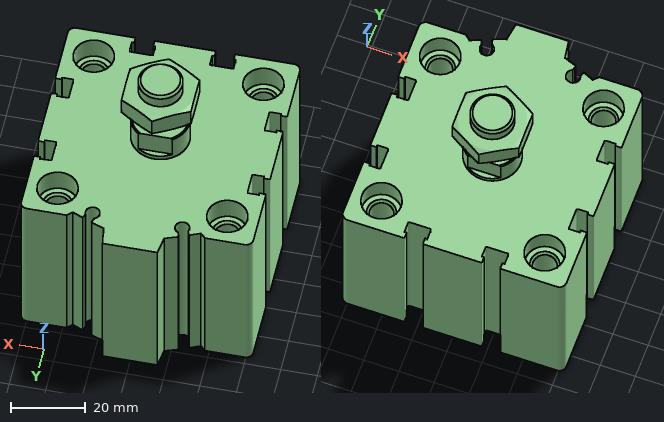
import cadquery as cq
import math


body_width = 63.5
body_height = 48.0
corner_radius = 2.0
half_width = body_width / 2

groove_spacing = 22.0
groove_mouth = 5.2
groove_width = 6.5
groove_lip = 1.8
groove_depth = 5.0
groove_mouth_radius = 0.3
groove_floor_radius = 0.4

boss_top = (7.5, 39.25)
boss_foot = (8.3, 34.1)
boss_shoulder = (11.8, 32.85)

slot_center = (12.25, 29.55)
slot_radius = 1.95
slot_mouth = 2.75
slot_tilt = 21.0
slot_outer_lip = (14.4, half_width)
notch_bottom = (17.5, 30.4)
notch_end_x = 18.9

hole_pitch = 46.4
hole_diameter = 6.65
hole_countersink = 8.0
counterbore_diameter = 11.0
counterbore_depth = 6.8

rod_diameter = 16.0
rod_shoulder_z = body_height + 8.0
rod_edge_chamfer = 0.3
flats_width = 13.0
flats_bottom_z = body_height + 1.4
thread_diameter = 12.0
thread_tip_diameter = 10.65
thread_bottom_z = 59.75
thread_tip_chamfer = 0.75
neck_diameter = 10.2
neck_top_z = 57.25
neck_top_radius = 0.85
neck_foot_radius = 0.5
rod_top_z = 72.0

nut_across_flats = 19.0
nut_bottom_z = 62.0
nut_height = 6.0
nut_face_diameter = 18.6
nut_chamfer_angle = 15.0


def cylinder(diameter, bottom_z, height):
    """Upright cylinder on the Z axis."""
    return cq.Workplane("XY").workplane(offset=bottom_z).circle(diameter / 2).extrude(height)


def turned(half_section):
    """Solid of revolution about Z from (radius, Z) points."""
    return cq.Workplane("XZ").polyline(half_section).close().revolve(360, (0, 0), (0, 1))


def housing_block():
    """Square block with rounded corners."""
    return (
        cq.Workplane("XY")
        .rect(body_width, body_width)
        .extrude(body_height)
        .edges("|Z")
        .fillet(corner_radius)
    )


def boss():
    """Tapered boss, reaching down to the level of the slot centers."""
    right_outline = [(boss_shoulder[0], slot_center[1]), boss_shoulder, boss_foot, boss_top]
    left_outline = [(-x, y) for x, y in reversed(right_outline)]
    return cq.Workplane("XY").polyline(right_outline + left_outline).close().extrude(body_height)


def corner_notch(side):
    """V-notch between the slot's outer lip and the flat +Y face."""
    outline = [
        slot_outer_lip,
        notch_bottom,
        (notch_end_x, half_width),
        (notch_end_x, boss_top[1]),
        (slot_outer_lip[0], boss_top[1]),
    ]
    return cq.Workplane("XY").polyline([(side * x, y) for x, y in outline]).close().extrude(body_height)


def round_slot(side):
    """Round channel with a narrower tilted mouth."""
    mouth_length = boss_top[1] - slot_center[1]
    mouth = (
        cq.Workplane("XY")
        .center(0, mouth_length / 2)
        .rect(slot_mouth, mouth_length)
        .extrude(body_height)
    )
    channel = cylinder(2 * slot_radius, 0, body_height).union(mouth)
    channel = channel.rotate((0, 0, 0), (0, 0, 1), -side * slot_tilt)
    return channel.translate((side * slot_center[0], slot_center[1], 0))


def t_groove(offset):
    """T-shaped groove along Z in the -Y face at the given X, with rounded edges."""
    mouth_x = groove_mouth / 2
    flare_x = mouth_x + groove_mouth_radius
    pocket_depth = groove_depth - groove_lip
    mouth = (
        cq.Workplane("XY")
        .moveTo(-flare_x, 0)
        .radiusArc((-mouth_x, groove_mouth_radius), -groove_mouth_radius)
        .lineTo(-mouth_x, groove_lip)
        .lineTo(mouth_x, groove_lip)
        .lineTo(mouth_x, groove_mouth_radius)
        .radiusArc((flare_x, 0), -groove_mouth_radius)
        .close()
        .extrude(body_height)
    )
    pocket = (
        cq.Workplane("XY")
        .center(0, groove_lip + pocket_depth / 2)
        .rect(groove_width, pocket_depth)
        .extrude(body_height)
        .edges("|Z and >Y")
        .fillet(groove_floor_radius)
    )
    return mouth.union(pocket).translate((offset, -half_width, 0))


def mounting_hole():
    """Through hole, countersunk below a counterbore, as a revolved cutter."""
    floor_z = body_height - counterbore_depth
    countersink_depth = (hole_countersink - hole_diameter) / 2
    half_section = [
        (0, 0),
        (hole_diameter / 2, 0),
        (hole_diameter / 2, floor_z - countersink_depth),
        (hole_countersink / 2, floor_z),
        (counterbore_diameter / 2, floor_z),
        (counterbore_diameter / 2, body_height),
        (0, body_height),
    ]
    return turned(half_section)


def make_housing():
    """Grooved housing with its boss, sensor slots and mounting holes."""
    body = housing_block().union(boss())
    for side in (-1, 1):
        body = body.cut(corner_notch(side)).cut(round_slot(side))
    for turn in (-90, 0, 90):
        for offset in (-groove_spacing / 2, groove_spacing / 2):
            body = body.cut(t_groove(offset).rotate((0, 0, 0), (0, 0, 1), turn))
    hole = mounting_hole()
    for x in (-hole_pitch / 2, hole_pitch / 2):
        for y in (-hole_pitch / 2, hole_pitch / 2):
            body = body.cut(hole.translate((x, y, 0)))
    return body


def make_rod():
    """Stepped rod with wrench flats, standing on the housing's top face."""
    rod_radius = rod_diameter / 2
    neck_radius = neck_diameter / 2
    thread_radius = thread_diameter / 2
    cone_angle = math.atan2(thread_radius - neck_radius, thread_bottom_z - neck_top_z)
    tangent_length = neck_top_radius * math.tan(cone_angle / 2)
    cone_start = (
        neck_radius + tangent_length * math.sin(cone_angle),
        neck_top_z + tangent_length * math.cos(cone_angle),
    )
    rod = (
        cq.Workplane("XZ")
        .moveTo(0, body_height)
        .lineTo(rod_radius, body_height)
        .lineTo(rod_radius, rod_shoulder_z - rod_edge_chamfer)
        .lineTo(rod_radius - rod_edge_chamfer, rod_shoulder_z)
        .lineTo(neck_radius + neck_foot_radius, rod_shoulder_z)
        .radiusArc((neck_radius, rod_shoulder_z + neck_foot_radius), neck_foot_radius)
        .lineTo(neck_radius, neck_top_z - tangent_length)
        .radiusArc(cone_start, neck_top_radius)
        .lineTo(thread_radius, thread_bottom_z)
        .lineTo(thread_radius, rod_top_z - thread_tip_chamfer)
        .lineTo(thread_tip_diameter / 2, rod_top_z)
        .lineTo(0, rod_top_z)
        .close()
        .revolve(360, (0, 0), (0, 1))
    )
    flats_height = rod_shoulder_z - flats_bottom_z
    for side in (-1, 1):
        flat_cut = (
            cq.Workplane("XY")
            .workplane(offset=flats_bottom_z)
            .center(0, side * (flats_width + rod_diameter) / 2)
            .rect(rod_diameter, rod_diameter)
            .extrude(flats_height)
        )
        rod = rod.cut(flat_cut)
    return rod


def make_nut():
    """Hexagon nut with corners along Y, chamfered on both faces."""
    hex_radius = nut_across_flats / math.sqrt(3)
    face_radius = nut_face_diameter / 2
    corner_drop = (hex_radius - face_radius) * math.tan(math.radians(nut_chamfer_angle))
    top_z = nut_bottom_z + nut_height
    hexagon = (
        cq.Workplane("XY")
        .workplane(offset=nut_bottom_z)
        .polygon(6, 2 * hex_radius)
        .extrude(nut_height)
        .rotate((0, 0, 0), (0, 0, 1), 90)
    )
    envelope = turned([
        (0, nut_bottom_z),
        (face_radius, nut_bottom_z),
        (hex_radius, nut_bottom_z + corner_drop),
        (hex_radius, top_z - corner_drop),
        (face_radius, top_z),
        (0, top_z),
    ])
    return hexagon.intersect(envelope).cut(cylinder(thread_diameter, nut_bottom_z, nut_height))


housing = make_housing()
rod = make_rod()
nut = make_nut()

result = cq.Compound.makeCompound([housing.val(), rod.val(), nut.val()])